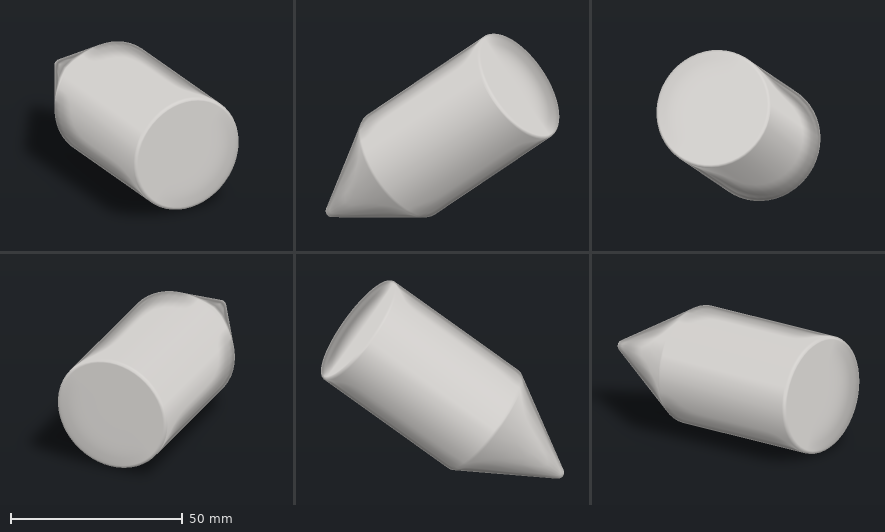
import cadquery as cq
import math

length = 76.6
body_radius = 17.6
cone_half_angle = math.radians(29.6)
tip_radius = 1.8
shoulder_radius = 2.0
end_fillet = 1.0

sine = math.sin(cone_half_angle)
cosine = math.cos(cone_half_angle)
tip_start = -length / 2
tip_center = tip_start + tip_radius
cone_start = (tip_center - tip_radius * sine, tip_radius * cosine)
tip_middle_angle = (math.pi / 2 - cone_half_angle) / 2
tip_middle = (
    tip_center - tip_radius * math.cos(tip_middle_angle),
    tip_radius * math.sin(tip_middle_angle),
)

shoulder_center_y = body_radius - shoulder_radius
cone_end_y = shoulder_center_y + shoulder_radius * cosine
cone_end_x = cone_start[0] + (cone_end_y - cone_start[1]) / math.tan(cone_half_angle)
shoulder_end_x = cone_end_x + shoulder_radius * sine
shoulder_middle = (
    shoulder_end_x - shoulder_radius * math.sin(cone_half_angle / 2),
    shoulder_center_y + shoulder_radius * math.cos(cone_half_angle / 2),
)

half_section = (
    cq.Workplane("XY")
    .moveTo(tip_start, 0)
    .threePointArc(tip_middle, cone_start)
    .lineTo(cone_end_x, cone_end_y)
    .threePointArc(shoulder_middle, (shoulder_end_x, body_radius))
    .lineTo(length / 2, body_radius)
    .lineTo(length / 2, 0)
    .close()
)
pointed_pin = half_section.revolve(360, (0, 0, 0), (1, 0, 0))

result = pointed_pin.faces(">X").edges().fillet(end_fillet)